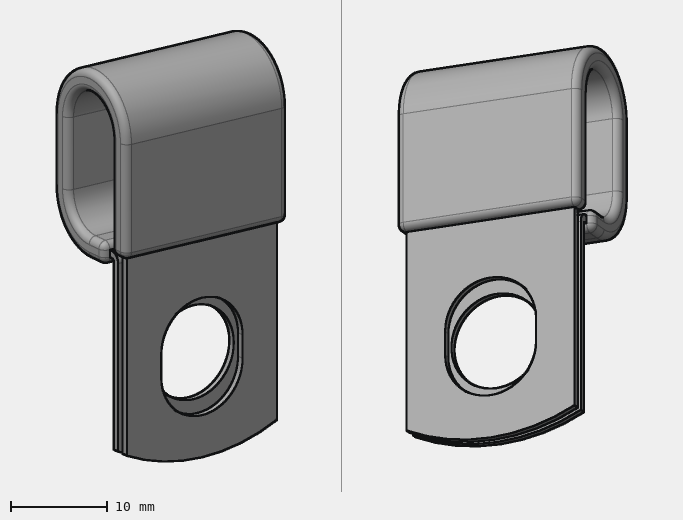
import cadquery as cq
import math

total_height = 42.85
loop_width = 12.72
cushion_length = 20.65
cover = 0.8
strap_thickness = 0.8
straight_height = 7.93
lower_end_x = 2.53
upper_end_z = 23.8
bent_tab_x = 4.0
bend_inner_radius = 0.25
hole_diameter = 10.3
slot_length = 12.85
hole_height = 11.05
end_sagitta = 2.15

strap_width = cushion_length - 2 * cover
cushion_thickness = strap_thickness + 2 * cover
outer_radius = loop_width / 2
inner_radius = outer_radius - cushion_thickness
upper_center_z = total_height - outer_radius
lower_center_z = upper_center_z - straight_height
strap_outer_x = outer_radius - cover
strap_inner_x = inner_radius + cover
strap_top_z = lower_center_z - strap_inner_x
strap_bottom_z = lower_center_z - strap_outer_x
bend_outer_radius = bend_inner_radius + strap_thickness
bend_center_x = bent_tab_x - bend_outer_radius
bend_center_z = strap_top_z - bend_outer_radius
diagonal = math.sqrt(0.5)


def extrude_centered(outline, width):
    """Extrude an XZ outline symmetrically about Y = 0."""
    return outline.extrude(width / 2, both=True)


def make_cushion():
    """Loop open at the lower right, with every edge rounded."""
    outline = (
        cq.Workplane("XZ")
        .moveTo(outer_radius, upper_end_z)
        .lineTo(outer_radius, upper_center_z)
        .threePointArc((0, total_height), (-outer_radius, upper_center_z))
        .lineTo(-outer_radius, lower_center_z)
        .threePointArc(
            (-outer_radius * diagonal, lower_center_z - outer_radius * diagonal),
            (0, lower_center_z - outer_radius),
        )
        .lineTo(lower_end_x, lower_center_z - outer_radius)
        .lineTo(lower_end_x, lower_center_z - inner_radius)
        .lineTo(0, lower_center_z - inner_radius)
        .threePointArc(
            (-inner_radius * diagonal, lower_center_z - inner_radius * diagonal),
            (-inner_radius, lower_center_z),
        )
        .lineTo(-inner_radius, upper_center_z)
        .threePointArc((0, upper_center_z + inner_radius), (inner_radius, upper_center_z))
        .lineTo(inner_radius, upper_end_z)
        .close()
    )
    body = extrude_centered(outline, cushion_length)
    rim_edges = body.faces("<Y or >Y").edges()
    upper_end_center = ((outer_radius + inner_radius) / 2, 0, upper_end_z)
    lower_end_center = (lower_end_x, 0, lower_center_z - (outer_radius + inner_radius) / 2)
    upper_end_edges = body.faces(cq.NearestToPointSelector(upper_end_center)).edges("|Y")
    lower_end_edges = body.faces(cq.NearestToPointSelector(lower_end_center)).edges("|Y")
    return rim_edges.add(upper_end_edges).add(lower_end_edges).fillet(cover)


def make_straight_tab():
    """Flat strap leg that starts inside the cushion's straight end."""
    outline = (
        cq.Workplane("XZ")
        .moveTo(strap_inner_x, 0)
        .lineTo(strap_outer_x, 0)
        .lineTo(strap_outer_x, upper_end_z + cover)
        .lineTo(strap_inner_x, upper_end_z + cover)
        .close()
    )
    return extrude_centered(outline, strap_width)


def make_bent_tab():
    """Strap leg that leaves the cushion horizontally and bends down."""
    outline = (
        cq.Workplane("XZ")
        .moveTo(lower_end_x - cover, strap_top_z)
        .lineTo(bend_center_x, strap_top_z)
        .threePointArc(
            (bend_center_x + bend_outer_radius * diagonal, bend_center_z + bend_outer_radius * diagonal),
            (bent_tab_x, bend_center_z),
        )
        .lineTo(bent_tab_x, 0)
        .lineTo(bent_tab_x - strap_thickness, 0)
        .lineTo(bent_tab_x - strap_thickness, bend_center_z)
        .threePointArc(
            (bend_center_x + bend_inner_radius * diagonal, bend_center_z + bend_inner_radius * diagonal),
            (bend_center_x, strap_bottom_z),
        )
        .lineTo(lower_end_x - cover, strap_bottom_z)
        .close()
    )
    return extrude_centered(outline, strap_width)


def make_tab_envelope():
    """Block around both strap legs with the curved lower end."""
    return (
        cq.Workplane("YZ")
        .moveTo(-strap_width / 2, total_height)
        .lineTo(-strap_width / 2, end_sagitta)
        .threePointArc((0, 0), (strap_width / 2, end_sagitta))
        .lineTo(strap_width / 2, total_height)
        .close()
        .extrude(loop_width)
    )


tab_envelope = make_tab_envelope()
opening_plane = cq.Workplane("YZ").center(0, hole_height)
round_hole = opening_plane.circle(hole_diameter / 2).extrude(loop_width)
vertical_slot = opening_plane.slot2D(slot_length, hole_diameter, 90).extrude(loop_width)

straight_tab = make_straight_tab().intersect(tab_envelope).cut(vertical_slot)
bent_tab = make_bent_tab().intersect(tab_envelope).cut(round_hole)
result = make_cushion().union(straight_tab).union(bent_tab)